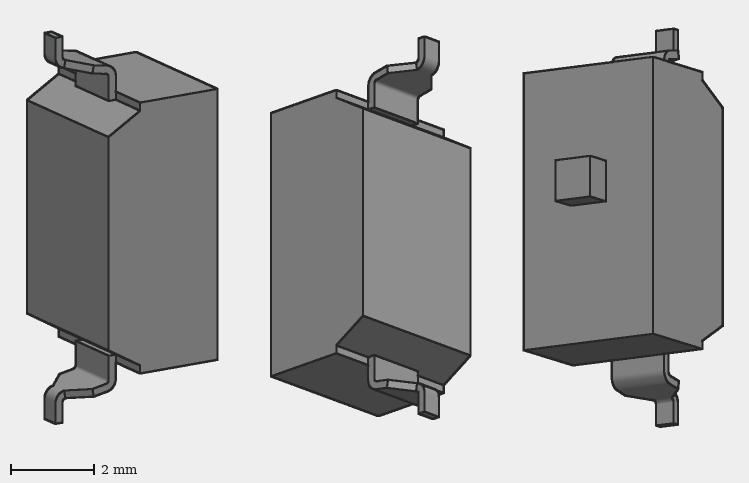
import cadquery as cq
import math

width = 3.7
housing_height = 6.8
back_depth = 2.2
front_depth = 0.9
ledge_height = 0.2
bevel_angle = 30

knob_width = 1.0
knob_height = 1.0
knob_length = 0.7
knob_bottom = 0.0

overall_height = 9.69
lead_thickness = 0.2
lead_width = 1.5
foot_width = 0.5
foot_length = 0.5
lead_reach = 1.405
inner_radius = 0.1
bend_angle = math.radians(80)

half_housing = housing_height / 2
bevel_bottom = half_housing - ledge_height
bevel_height = front_depth * math.tan(math.radians(bevel_angle))
outer_radius = inner_radius + lead_thickness
middle_radius = inner_radius + lead_thickness / 2
slope_angle = math.pi / 2 - bend_angle
lead_tip = overall_height / 2
bend_run = middle_radius * (1 - math.cos(bend_angle))
bend_rise = middle_radius * math.sin(bend_angle)
slope_run = lead_reach - lead_thickness - 2 * bend_run
slope_rise = slope_run * math.tan(slope_angle)
foot_bend_z = lead_tip - foot_length
root_bend_z = foot_bend_z - 2 * bend_rise - slope_rise


def make_housing():
    """Block with two bevelled front edges and a square knob on its back."""
    front_z = bevel_bottom - bevel_height
    block = (
        cq.Workplane("YZ")
        .moveTo(back_depth, -half_housing)
        .lineTo(0, -half_housing)
        .lineTo(0, -bevel_bottom)
        .lineTo(-front_depth, -front_z)
        .lineTo(-front_depth, front_z)
        .lineTo(0, bevel_bottom)
        .lineTo(0, half_housing)
        .lineTo(back_depth, half_housing)
        .close()
        .extrude(width / 2, both=True)
    )
    knob = cq.Workplane("XY").box(
        knob_width, knob_length, knob_height, centered=(True, False, False)
    ).translate((0, back_depth, knob_bottom))
    return block.union(knob)


def root_bend_point(radius, angle):
    """(Y, Z) on the bend above the shank, with the angle from its start."""
    return (
        -outer_radius + radius * math.cos(angle),
        root_bend_z + radius * math.sin(angle),
    )


def foot_bend_point(radius, angle):
    """(Y, Z) on the bend below the foot, with the angle from its foot end."""
    return (
        -lead_reach + outer_radius - radius * math.cos(angle),
        foot_bend_z - radius * math.sin(angle),
    )


def make_lead_strip():
    """Bent strip of constant width."""
    half_bend = bend_angle / 2
    return (
        cq.Workplane("YZ")
        .moveTo(0, bevel_bottom)
        .lineTo(*root_bend_point(outer_radius, 0))
        .threePointArc(root_bend_point(outer_radius, half_bend), root_bend_point(outer_radius, bend_angle))
        .lineTo(*foot_bend_point(inner_radius, bend_angle))
        .threePointArc(foot_bend_point(inner_radius, half_bend), foot_bend_point(inner_radius, 0))
        .lineTo(-lead_reach + lead_thickness, lead_tip)
        .lineTo(-lead_reach, lead_tip)
        .lineTo(*foot_bend_point(outer_radius, 0))
        .threePointArc(foot_bend_point(outer_radius, half_bend), foot_bend_point(outer_radius, bend_angle))
        .lineTo(*root_bend_point(inner_radius, bend_angle))
        .threePointArc(root_bend_point(inner_radius, half_bend), root_bend_point(inner_radius, 0))
        .lineTo(-lead_thickness, bevel_bottom)
        .close()
        .extrude(lead_width / 2, both=True)
    )


def make_taper_cutter(side):
    """Waste beside the taper and foot; side is 1 for +X and -1 for -X.

    The sketch lies on the sloped stretch, with its origin where the foot
    bend begins and its second axis pointing away from the foot.
    """
    origin_y, origin_z = foot_bend_point(inner_radius, bend_angle)
    slope_plane = cq.Plane(
        origin=(0, origin_y, origin_z),
        xDir=(1, 0, 0),
        normal=(0, math.sin(slope_angle), math.cos(slope_angle)),
    )
    half_lead = lead_width / 2
    half_foot = foot_width / 2
    taper_length = half_lead - half_foot
    beyond_foot = -lead_reach
    return (
        cq.Workplane(slope_plane)
        .moveTo(side * half_lead, taper_length)
        .lineTo(side * half_foot, 0)
        .lineTo(side * half_foot, beyond_foot)
        .lineTo(side * lead_width, beyond_foot)
        .lineTo(side * lead_width, taper_length)
        .close()
        .extrude(lead_reach, both=True)
    )


def make_lead(end):
    """Lead at the top (end = 1) or, mirrored, at the bottom (end = -1)."""
    lead = make_lead_strip()
    for side in (-1, 1):
        lead = lead.cut(make_taper_cutter(side))
    if end < 0:
        lead = lead.mirror("XY")
    return lead


housing = make_housing()
leads = [make_lead(end) for end in (1, -1)]

result = cq.Compound.makeCompound([housing.solids().val(), *[lead.solids().val() for lead in leads]])